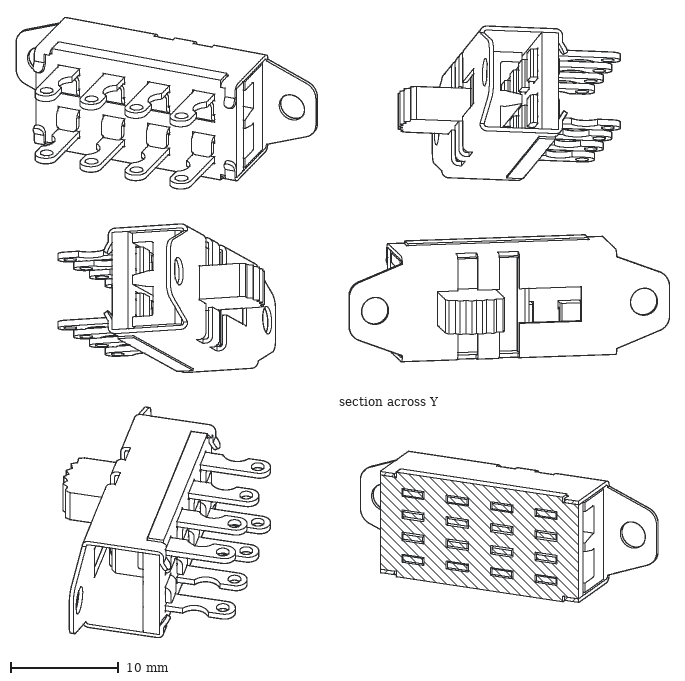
import cadquery as cq
import math


overall_length = 30.23
sheet = 0.4
body_length = 20.25
bracket_height = 9.98
bend_radius = 0.65
ear_end_height = 4.78
ear_corner_radius = 1.45
mount_hole_diameter = 2.55
mount_hole_spacing = 25.4
notch_width = 1.9
notch_depth = 0.95
notch_pitch = 3.93
finger_width = 1.0
finger_tip_radius = 0.48
finger_bend_z = 3.75
finger_reach = 1.0
finger_angle = 31.0
inner_half_height = bracket_height / 2 - sheet

base_front_y = -5.83
base_back_y = -7.4
base_tab_length = 17.02
base_tab_height = 10.3
tab_clearance = 0.12

terminal_pitch = 4.53
terminal_count = 4
terminal_width = 2.03
slot_width = 2.2
leg_bottom_z = 2.93
leg_top_z = 3.5
leg_tip_y = -13.8
eyelet_diameter = 1.18
eyelet_y = -12.65
bite_width = 2.45
bite_depth = 0.73
bite_y = -10.28
clip_bottom_z = 0.85
clip_top_z = 2.75
clip_thickness = 0.5
clip_bend_radius = 0.6
clip_corner_radius = 0.42
contact_front_y = -5.2
contact_bevel_x = 0.15
contact_bevel_y = 0.27
leg_slot_z = (2.87, 3.6)
clip_slot_z = (0.7, 1.48)

knob_center_x = 4.02
knob_width = 5.55
knob_height = 3.15
slider_length = 12.2
slider_height = 8.83
slider_front_y = -0.75
slider_floor_y = -1.25
slider_back_y = -5.4
lug_length = 1.18
opening_front_y = -3.4
opening_corner_radius = 0.25
rib_root_half = 0.75
rib_tip_half = 0.42
rib_taper_y = -3.87
knob_ridges = [(0, 4.72), (0.48, 5.1), (0.97, 4.63), (1.6, 4.9), (1.93, 4.38), (2.57, 4.45), (2.78, 3.93)]

window_clearance = 0.05
window_length = 2 * knob_center_x + knob_width
window_height = knob_height + 2 * window_clearance


def block(x0, x1, y0, y1, z0, z1):
    """Box between two opposite corners."""
    return cq.Workplane("XY").box(x1 - x0, y1 - y0, z1 - z0, centered=False).translate((x0, y0, z0))


def mirrored_in_z(shape):
    return shape.union(shape.mirror("XY"))


def mounting_ears():
    """Flat plate with tapered, rounded ears beyond both ends of the channel."""
    tip_x = overall_length / 2
    root_x = body_length / 2
    root_z = bracket_height / 2 - bend_radius
    tip_z = ear_end_height / 2
    outline = [
        (-tip_x, -tip_z), (-root_x, -root_z), (root_x, -root_z), (tip_x, -tip_z),
        (tip_x, tip_z), (root_x, root_z), (-root_x, root_z), (-tip_x, tip_z),
    ]
    plate = cq.Workplane("XZ").polyline(outline).close().extrude(sheet)
    plate = plate.edges("|Y and (<X or >X)").fillet(ear_corner_radius)
    holes = (
        cq.Workplane("XZ")
        .pushPoints([(-mount_hole_spacing / 2, 0), (mount_hole_spacing / 2, 0)])
        .circle(mount_hole_diameter / 2)
        .extrude(sheet)
    )
    return plate.cut(holes)


def channel():
    """U-shaped channel: front plate and two long walls, with round bends at front and back."""
    half_length = body_length / 2
    half_height = bracket_height / 2
    back_y = base_back_y - sheet
    outer = block(-half_length, half_length, back_y, 0, -half_height, half_height)
    outer = outer.edges("|X").fillet(bend_radius)
    inner = block(-half_length, half_length, base_back_y, -sheet, -inner_half_height, inner_half_height)
    inner = inner.edges("|X and >Y").fillet(bend_radius - sheet)
    open_back = block(-half_length, half_length, back_y, base_back_y, -inner_half_height, inner_half_height)
    return outer.cut(inner).cut(open_back)


def wall_cutouts():
    """Openings at the back of both long walls for the tabs of the base."""
    half = base_tab_length / 2 + tab_clearance
    return block(-half, half, base_back_y - sheet, base_front_y, -bracket_height / 2, bracket_height / 2)


def front_openings():
    """Knob window and the notches across the front plate and its bends."""
    openings = block(
        -window_length / 2, window_length / 2, -sheet, 0, -window_height / 2, window_height / 2
    )
    for center_x in (0, notch_pitch):
        openings = openings.union(
            block(
                center_x - notch_width / 2, center_x + notch_width / 2, -notch_depth, 0,
                -bracket_height / 2, bracket_height / 2,
            )
        )
    return openings


def retaining_fingers():
    """Four fingers folded over the back of the base, with their round tips bent outward."""
    angle = math.radians(finger_angle)
    along_y, along_z = -math.sin(angle), -math.cos(angle)
    across_y, across_z = math.cos(angle), -math.sin(angle)
    outer_y = base_back_y - sheet
    half_height = bracket_height / 2
    tip_outer = (outer_y + finger_reach * along_y, finger_bend_z + finger_reach * along_z)
    tip_inner = (tip_outer[0] + sheet * across_y, tip_outer[1] + sheet * across_z)
    inner_bend_z = finger_bend_z - sheet * math.tan(angle / 2)
    finger = (
        cq.Workplane("YZ", origin=(body_length / 2 - finger_width, 0, 0))
        .moveTo(base_back_y, inner_bend_z)
        .lineTo(*tip_inner)
        .lineTo(*tip_outer)
        .lineTo(outer_y, finger_bend_z)
        .lineTo(outer_y, half_height - bend_radius)
        .radiusArc((outer_y + bend_radius, half_height), bend_radius)
        .lineTo(outer_y + bend_radius, inner_half_height)
        .lineTo(base_back_y, inner_half_height)
        .close()
        .extrude(finger_width)
    )
    across = cq.Vector(0, across_y, across_z)
    finger = finger.edges(cq.selectors.ParallelDirSelector(across)).fillet(finger_tip_radius)
    pair = mirrored_in_z(finger)
    return pair.union(pair.mirror("YZ"))


def make_bracket():
    bracket = mounting_ears().union(channel())
    bracket = bracket.cut(wall_cutouts()).cut(front_openings())
    return bracket.union(retaining_fingers())


def terminal_positions():
    return [(i - (terminal_count - 1) / 2) * terminal_pitch for i in range(terminal_count)]


def make_base():
    """Slotted block between the bracket walls, with a long tab through each wall."""
    half_length = body_length / 2
    half_tab = base_tab_length / 2
    half_tab_height = base_tab_height / 2
    base = block(
        -half_length, half_length, base_back_y, base_front_y, -inner_half_height, inner_half_height
    )
    base = base.union(
        block(-half_tab, half_tab, base_back_y, base_front_y, -half_tab_height, half_tab_height)
    )
    for center_x in terminal_positions():
        for bottom_z, top_z in (leg_slot_z, clip_slot_z):
            slot = block(
                center_x - slot_width / 2, center_x + slot_width / 2, base_back_y, base_front_y,
                bottom_z, top_z,
            )
            base = base.cut(mirrored_in_z(slot))
    return base


def solder_leg():
    """Flat leg with a round end, an eyelet and a round bite in its +X edge."""
    half_width = terminal_width / 2
    thickness = leg_top_z - leg_bottom_z
    bite_radius = ((bite_width / 2) ** 2 + bite_depth**2) / (2 * bite_depth)
    plan = cq.Workplane("XY", origin=(0, 0, leg_bottom_z))
    leg = (
        plan.moveTo(-half_width, base_front_y)
        .lineTo(-half_width, leg_tip_y + half_width)
        .threePointArc((0, leg_tip_y), (half_width, leg_tip_y + half_width))
        .lineTo(half_width, base_front_y)
        .close()
        .extrude(thickness)
    )
    eyelet = plan.center(0, eyelet_y).circle(eyelet_diameter / 2).extrude(thickness)
    bite_x = half_width - bite_depth + bite_radius
    bite = plan.center(bite_x, bite_y).circle(bite_radius).extrude(thickness)
    return leg.cut(eyelet).cut(bite)


def retaining_clip():
    """Strip that comes back through the base and folds flat against its back face."""
    half_width = terminal_width / 2
    outer_y = base_back_y - clip_thickness
    strip = block(
        -half_width, half_width, outer_y, base_front_y, clip_bottom_z, clip_bottom_z + clip_thickness
    )
    fold = block(-half_width, half_width, outer_y, base_back_y, clip_bottom_z, clip_top_z)
    fold = fold.edges("|Y and >Z").fillet(clip_corner_radius)
    return strip.union(fold).edges("|X and <Y and <Z").fillet(clip_bend_radius)


def contact_plate():
    """Plate on the inner face of the base that joins leg and clip, bevelled at both ends."""
    half_width = terminal_width / 2
    half_face = half_width - contact_bevel_x
    bevel_y = contact_front_y - contact_bevel_y
    outline = [
        (-half_width, base_front_y), (half_width, base_front_y), (half_width, bevel_y),
        (half_face, contact_front_y), (-half_face, contact_front_y), (-half_width, bevel_y),
    ]
    plan = cq.Workplane("XY", origin=(0, 0, clip_bottom_z))
    return plan.polyline(outline).close().extrude(leg_top_z - clip_bottom_z)


def make_terminal():
    return solder_leg().union(retaining_clip()).union(contact_plate())


def contact_opening():
    """Recess for the upper row of contacts, beside the tapered middle rib."""
    outline = [
        (slider_back_y, leg_top_z), (opening_front_y, leg_top_z), (opening_front_y, rib_root_half),
        (rib_taper_y, rib_root_half), (slider_back_y, rib_tip_half),
    ]
    start = (knob_center_x - slider_length / 2, 0, 0)
    opening = cq.Workplane("YZ", origin=start).polyline(outline).close().extrude(slider_length)
    return opening.edges("|X and >Y and >Z").fillet(opening_corner_radius)


def slider_carriage():
    """Block behind the front plate, with a bevelled lug at both ends of its front."""
    half_length = slider_length / 2
    bevel = slider_front_y - slider_floor_y
    half_outline = [
        (half_length - lug_length, slider_floor_y), (half_length - lug_length, slider_front_y),
        (half_length - bevel, slider_front_y), (half_length, slider_floor_y), (half_length, slider_back_y),
    ]
    outline = half_outline + [(-x, y) for x, y in reversed(half_outline)]
    carriage = cq.Workplane("XY", origin=(knob_center_x, 0, 0)).polyline(outline).close()
    carriage = carriage.extrude(slider_height / 2, both=True)
    return carriage.cut(mirrored_in_z(contact_opening()))


def knob():
    """Knob with a ridged end that stands out through the window."""
    ridges = [(-x, y) for x, y in reversed(knob_ridges[1:])] + knob_ridges
    outline = [(-knob_width / 2, slider_floor_y)] + ridges + [(knob_width / 2, slider_floor_y)]
    profile = cq.Workplane("XY", origin=(knob_center_x, 0, 0)).polyline(outline).close()
    return profile.extrude(knob_height / 2, both=True)


def make_slider():
    return slider_carriage().union(knob())


def make_insert():
    """Base and slider with an upper row of terminals and a lower row turned half round."""
    insert = make_base()
    terminal = make_terminal()
    turned_terminal = terminal.rotate((0, 0, 0), (0, 1, 0), 180)
    for center_x in terminal_positions():
        for copy in (terminal, turned_terminal):
            insert = insert.union(copy.translate((center_x, 0, 0)))
    return insert.union(make_slider())


bracket = make_bracket()
switch_insert = make_insert()
result = cq.Compound.makeCompound([*bracket.solids().vals(), *switch_insert.solids().vals()])